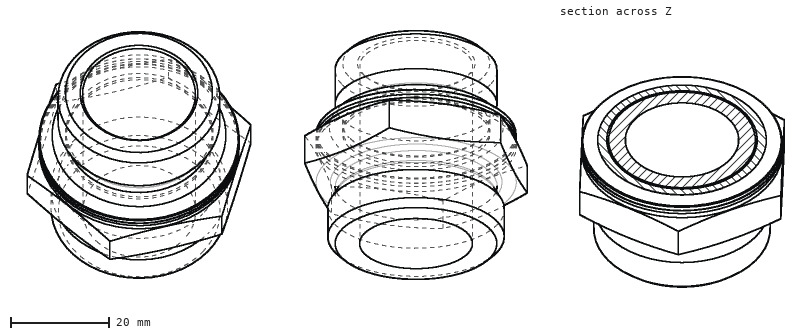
import cadquery as cq
import math

hex_corner_dia = 47.35
hex_flat_dia = hex_corner_dia * math.sqrt(3) / 2
hex_chamfer_angle = math.radians(15)
hex_bottom_z = 14.0
hex_top_z = 22.0

total_height = 41.0
lower_land_top_z = 7.9
rim_top_z = 25.0
upper_land_bottom_z = 31.58

bore_radius = 23.0 / 2
upper_neck_radius = 30.0 / 2
main_radius = 33.0 / 2
lower_land_radius = 36.0 / 2
rim_radius = 40.8 / 2

end_chamfer = 1.5
bore_chamfer = 0.45
rim_chamfer = 0.2
relief_angle = math.radians(30)
lower_relief_fillet = 1.0
upper_relief_fillet = 0.5
hex_root_fillet = 1.0

groove_center_z = 23.5
groove_width = 0.75
groove_depth = 0.35

ring_section_dia = 2.9
ring_outer_radius = 17.7


def turned_solid(sketch):
    """Revolve an outline drawn in radius and height about the Z axis."""
    return sketch.close().revolve(360, (0, 0, 0), (0, 1, 0))


def circle_edges_at(radius, height):
    """Select the circular edges with the given radius and height."""
    reach = radius + 0.05
    band = 0.05
    return cq.selectors.BoxSelector(
        (-reach, -reach, height - band), (reach, reach, height + band), boundingbox=True
    )


def make_lower_stub():
    relief_top_z = lower_land_top_z + (lower_land_radius - main_radius) / math.tan(relief_angle)
    stub = turned_solid(
        cq.Workplane("XZ")
        .lineTo(lower_land_radius - end_chamfer, 0)
        .lineTo(lower_land_radius, end_chamfer)
        .lineTo(lower_land_radius, lower_land_top_z)
        .lineTo(main_radius, relief_top_z)
        .lineTo(main_radius, hex_bottom_z)
        .lineTo(0, hex_bottom_z)
    )
    return stub.edges(circle_edges_at(main_radius, relief_top_z)).fillet(lower_relief_fillet)


def make_upper_stub():
    relief_bottom_z = upper_land_bottom_z - (main_radius - upper_neck_radius) / math.tan(relief_angle)
    stub = turned_solid(
        cq.Workplane("XZ")
        .moveTo(0, rim_top_z)
        .lineTo(upper_neck_radius, rim_top_z)
        .lineTo(upper_neck_radius, relief_bottom_z)
        .lineTo(main_radius, upper_land_bottom_z)
        .lineTo(main_radius, total_height - end_chamfer)
        .lineTo(main_radius - end_chamfer, total_height)
        .lineTo(0, total_height)
    )
    return stub.edges(circle_edges_at(upper_neck_radius, relief_bottom_z)).fillet(upper_relief_fillet)


def make_rim():
    return turned_solid(
        cq.Workplane("XZ")
        .moveTo(0, hex_top_z)
        .lineTo(rim_radius, hex_top_z)
        .lineTo(rim_radius, groove_center_z - groove_width / 2)
        .threePointArc(
            (rim_radius - groove_depth, groove_center_z),
            (rim_radius, groove_center_z + groove_width / 2),
        )
        .lineTo(rim_radius, rim_top_z - rim_chamfer)
        .lineTo(rim_radius - rim_chamfer, rim_top_z)
        .lineTo(0, rim_top_z)
    )


def make_hexagon():
    prism = (
        cq.Workplane("XY", origin=(0, 0, hex_bottom_z))
        .polygon(6, hex_corner_dia)
        .extrude(hex_top_z - hex_bottom_z)
        .rotate((0, 0, 0), (0, 0, 1), 30)
    )
    envelope_radius = hex_corner_dia / 2 + 0.45
    cone_drop = (envelope_radius - rim_radius) * math.tan(hex_chamfer_angle)
    envelope = turned_solid(
        cq.Workplane("XZ")
        .moveTo(0, hex_bottom_z)
        .lineTo(rim_radius, hex_bottom_z)
        .lineTo(envelope_radius, hex_bottom_z + cone_drop)
        .lineTo(envelope_radius, hex_top_z - cone_drop)
        .lineTo(rim_radius, hex_top_z)
        .lineTo(0, hex_top_z)
    )
    return prism.intersect(envelope)


def make_sealing_ring():
    section_radius = ring_section_dia / 2
    center_radius = ring_outer_radius - section_radius
    return (
        cq.Workplane("XZ")
        .center(center_radius, rim_top_z + section_radius)
        .circle(section_radius)
        .revolve(360, (-center_radius, 0, 0), (-center_radius, 1, 0))
    )


def make_fitting(ring):
    fitting = make_lower_stub().union(make_hexagon()).union(make_rim()).union(make_upper_stub())
    fitting = fitting.edges(circle_edges_at(main_radius, hex_bottom_z)).fillet(hex_root_fillet)
    bore = cq.Workplane("XY").circle(bore_radius).extrude(total_height)
    fitting = fitting.cut(bore)
    fitting = fitting.edges(circle_edges_at(bore_radius, total_height)).chamfer(bore_chamfer)
    return fitting.cut(ring)


sealing_ring = make_sealing_ring()
fitting = make_fitting(sealing_ring)

result = cq.Compound.makeCompound([fitting.solids().val(), sealing_ring.val()])